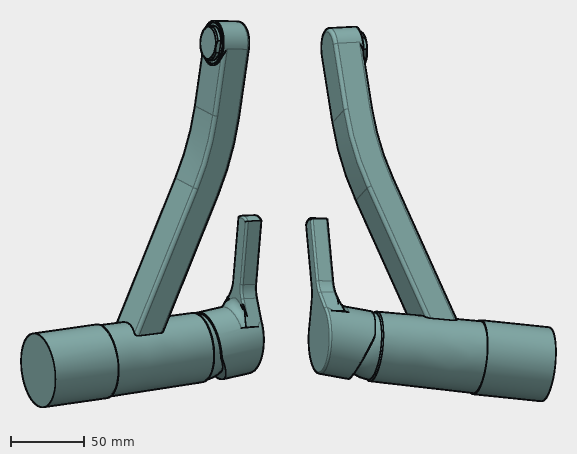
import cadquery as cq
import math

base_radius = 25.5
base_length = 48.7

body_end = 123.8
body_front_radius = 24.7
body_back_radius = 24.0
body_edge_chamfer = 1.3
ball_radius = 23.0
ball_center = 122.8

hub_radius = 24.2
hub_pivot = 133.5
hub_tilt = 4.5
hub_front = -4.8
hub_blank_length = 51.0
hub_relief_drop = 1.8
hub_relief_angle = 19.0
back_plane_start = 161.3
back_plane_lean = 5.2
handle_edge_fillet = 1.5

lever_top = 88.0
lever_crown = 2.0
lever_half_width = 6.4
lever_thickness = 12.5
lever_neck_height = 41.3
flare_angle = 33.0
skirt_radius = 7.0

spout_width = 30.5
spout_thickness = 20.6
spout_edge_fillet = 2.5
spout_upper_lean = 9.0
spout_lower_lean = 24.9
spout_upper_length = 47.5
spout_bend_radius = 186.0
spout_lower_length = 127.4
mouth_center_y = 134.8
mouth_center_z = 214.2
mouth_rim_length = 2.8
mouth_rim_step = 0.3

outlet_radius = 12.0
outlet_length = 4.0
outlet_flange_radius = 14.0
outlet_flange_thickness = 0.5
outlet_chamfer = 1.0
outlet_flat_distance = 11.2


def y_cylinder(radius, start, length):
    """Cylinder along +Y from the given start."""
    return cq.Workplane("XZ", origin=(0, start, 0)).circle(radius).extrude(-length)


def make_base():
    return y_cylinder(base_radius, 0, base_length)


def make_ball():
    return cq.Workplane("XY", origin=(0, ball_center, 0)).sphere(ball_radius)


def make_body():
    """Slightly tapered barrel that ends in the ball on which the handle sits."""
    barrel = (
        cq.Workplane("XY")
        .moveTo(0, base_length)
        .lineTo(body_front_radius, base_length)
        .lineTo(body_back_radius, body_end - body_edge_chamfer)
        .lineTo(body_back_radius - body_edge_chamfer, body_end)
        .lineTo(0, body_end)
        .close()
        .revolve(360, (0, 0, 0), (0, 1, 0))
    )
    return barrel.union(make_ball())


def hub_to_lever_frame(part):
    """Moves a part from the hub frame (hub axis along Y) to the lever frame (back plane at Y = 0)."""
    part = part.rotate((0, 0, 0), (1, 0, 0), hub_tilt).translate((0, hub_pivot - back_plane_start, 0))
    return part.rotate((0, 0, 0), (1, 0, 0), back_plane_lean)


def lever_frame_to_place(part):
    return part.rotate((0, 0, 0), (1, 0, 0), -back_plane_lean).translate((0, back_plane_start, 0))


def make_hub():
    """Drum with its lower front edge cut away for the swing, closed by the back plane."""
    drum = y_cylinder(hub_radius, hub_front, hub_blank_length)
    relief_height = hub_radius - hub_relief_drop
    relief_depth = relief_height * math.tan(math.radians(hub_relief_angle))
    relief = (
        cq.Workplane("YZ")
        .moveTo(hub_front, -hub_relief_drop)
        .lineTo(hub_front + relief_depth, -hub_radius)
        .lineTo(hub_front, -hub_radius)
        .close()
        .extrude(hub_radius, both=True)
    )
    trim_size = 2 * hub_blank_length
    beyond_back = cq.Workplane("XY").box(trim_size, trim_size, trim_size, centered=(True, False, True))
    return hub_to_lever_frame(drum.cut(relief)).cut(beyond_back)


def flare_prism(depth):
    """Lever outline: straight sides that widen at the foot until tangent to the hub."""
    angle = math.radians(flare_angle)
    lever_middle = back_plane_start - lever_thickness / 2
    hub_axis_height = (lever_middle - hub_pivot) * math.tan(math.radians(hub_tilt))
    foot_x = hub_radius * math.cos(angle)
    foot_z = hub_axis_height + hub_radius * math.sin(angle)
    corner_z = hub_axis_height + (hub_radius - lever_half_width * math.cos(angle)) / math.sin(angle)
    bend_radius = (lever_neck_height - corner_z) / math.tan(angle / 2)
    bend_x = lever_half_width + bend_radius * (1 - math.cos(angle))
    bend_z = lever_neck_height - bend_radius * math.sin(angle)
    return (
        cq.Workplane("XZ")
        .moveTo(-foot_x, foot_z)
        .lineTo(-bend_x, bend_z)
        .radiusArc((-lever_half_width, lever_neck_height), -bend_radius)
        .lineTo(-lever_half_width, lever_top - lever_crown)
        .threePointArc((0, lever_top), (lever_half_width, lever_top - lever_crown))
        .lineTo(lever_half_width, lever_neck_height)
        .radiusArc((bend_x, bend_z), -bend_radius)
        .lineTo(foot_x, foot_z)
        .lineTo(0, 0)
        .close()
        .extrude(depth)
    )


def make_skirt():
    """Concave ring about the hub axis that blends the lever front into the hub."""
    lean = math.radians(hub_tilt + back_plane_lean)
    axis_distance = (back_plane_start - hub_pivot) * math.cos(math.radians(back_plane_lean))
    front_on_axis = (axis_distance - lever_thickness) / math.cos(lean)
    front_on_hub = front_on_axis + hub_radius * math.tan(lean)
    reach = skirt_radius * math.tan((math.pi / 2 - lean) / 2)
    outer_radius = hub_radius + reach * math.cos(lean)
    outer_y = front_on_hub + reach * math.sin(lean)
    ring = (
        cq.Workplane("XY")
        .moveTo(0, outer_y)
        .lineTo(0, front_on_hub - reach)
        .lineTo(hub_radius, front_on_hub - reach)
        .radiusArc((outer_radius, outer_y), skirt_radius)
        .close()
        .revolve(360, (0, 0, 0), (0, 1, 0))
    )
    return hub_to_lever_frame(ring).intersect(flare_prism(hub_radius))


def make_handle():
    lever = flare_prism(lever_thickness).faces("<Y or >Y").edges().fillet(handle_edge_fillet)
    hub = make_hub().faces(">Y").edges().fillet(handle_edge_fillet)
    return lever_frame_to_place(hub.union(lever).union(make_skirt())).cut(make_ball())


def to_mouth(part):
    """Moves a part from a frame with the mouth axis along -Y to the spout mouth."""
    return part.rotate((0, 0, 0), (1, 0, 0), -spout_upper_lean).translate((0, mouth_center_y, mouth_center_z))


def make_bar():
    """Bent bar whose front edge starts at the mouth centre, leaning back toward the top."""
    upper = math.radians(spout_upper_lean)
    lower = math.radians(spout_lower_lean)
    middle = (upper + lower) / 2
    back_radius = spout_bend_radius + spout_thickness

    def down(point, lean, length):
        return (point[0] - length * math.sin(lean), point[1] - length * math.cos(lean))

    def back(point, lean, length):
        return (point[0] + length * math.cos(lean), point[1] - length * math.sin(lean))

    front_top = (mouth_center_y, mouth_center_z)
    front_bend_start = down(front_top, upper, spout_upper_length)
    bend_center = back(front_bend_start, upper, -spout_bend_radius)
    front_bend_end = back(bend_center, lower, spout_bend_radius)
    back_bend_end = back(bend_center, lower, back_radius)
    return (
        cq.Workplane("YZ")
        .moveTo(*front_top)
        .lineTo(*front_bend_start)
        .threePointArc(back(bend_center, middle, spout_bend_radius), front_bend_end)
        .lineTo(*down(front_bend_end, lower, spout_lower_length))
        .lineTo(*down(back_bend_end, lower, spout_lower_length))
        .lineTo(*back_bend_end)
        .threePointArc(back(bend_center, middle, back_radius), back(bend_center, upper, back_radius))
        .lineTo(*back(front_top, upper, spout_thickness))
        .close()
        .extrude(spout_width / 2, both=True)
    )


def make_spout():
    """Bar with a round head, a sharp rim round its mouth, and a foot seated on the body."""
    head = to_mouth(y_cylinder(spout_width / 2, 0, spout_thickness))
    rim = to_mouth(y_cylinder(spout_width / 2, -mouth_rim_step, mouth_rim_length))
    spout = make_bar().union(head)
    spout = spout.faces("<X or >X").edges("not |X").fillet(spout_edge_fillet)
    return spout.union(rim).cut(make_body())


def make_outlet():
    """Chamfered disc with a flat on each side, on a thin round flange against the mouth rim."""
    disc = y_cylinder(outlet_radius, -mouth_rim_step - outlet_length, outlet_length)
    disc = disc.faces("<Y").chamfer(outlet_chamfer)
    box_size = 4 * outlet_radius
    disc = disc.intersect(cq.Workplane("XY").box(2 * outlet_flat_distance, box_size, box_size))
    flange_start = -mouth_rim_step - outlet_flange_thickness
    flange = y_cylinder(outlet_flange_radius, flange_start, outlet_flange_thickness)
    return to_mouth(disc.union(flange))


base = make_base()
body = make_body()
handle = make_handle()
spout = make_spout()
outlet = make_outlet()
result = cq.Compound.makeCompound([base.val(), body.val(), handle.val(), spout.val(), outlet.val()])